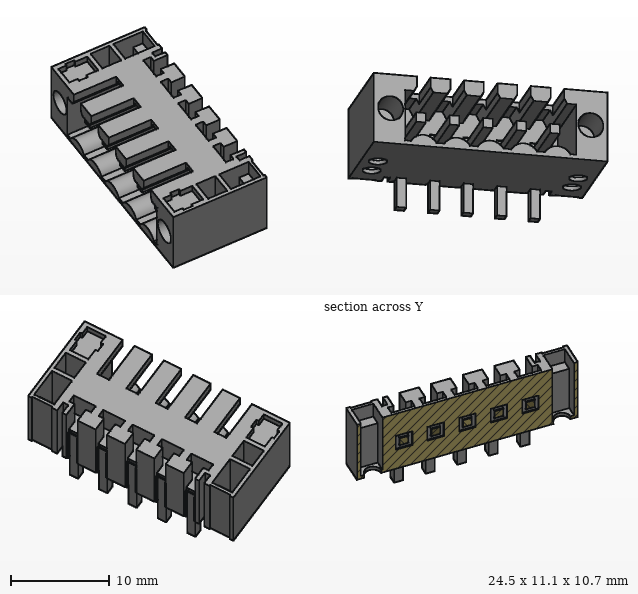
import cadquery as cq

LENGTH = 24.5
DEPTH = 11.05
HEIGHT = 7.5

PIN_COUNT = 5
PITCH = 3.5
PIN_SIZE = 1.0
PIN_Z = 3.53
PIN_TIP_Y = 1.18
PIN_LEG_INSET = 0.37
PIN_LEG_LENGTH = 3.15

CAVITY_WIDTH = 17.95
FLOOR = 0.45
CEILING_Z = 5.9
CAVITY_DEPTH = 8.1
KEY_BASE = 1.98
KEY_TOP = 0.83
KEY_TOP_Z = 6.95
RIB_CHORD = 2.7
RIB_RISE = 0.75
RECESS_SIZE = 1.8
RECESS_DEPTH = 0.25

SLOT_WIDTH = 1.42
SLOT_LENGTH = 5.0

NECK_WIDTH = 1.35
NECK_LENGTH = 1.62
BAR_WIDTH = 2.6
BAR_END = 2.5
T_FLOOR_Z = 4.43
STEP_LENGTH = 0.5
REAR_RELIEF = 0.07

OUTER_WALL = 0.45
POCKET_END = 2.82
REAR_POCKET = (0.5, 3.97)
MIDDLE_POCKET = (4.43, 6.66)
LEDGE_END = 1.62
LEDGE_Z = 5.75
HOLE_INSET = 1.76
PEG_HOLE_DIAMETER = 1.85
PEG_HOLE_REAR_DISTANCES = (2.85, 5.55)
NUT_POCKET = (7.15, 10.55)
NUT_POCKET_START = 0.61
NUT_EAR = (8.55, 9.58)
NUT_EAR_START = 0.37
NUT_EAR_END = 3.1
NUT_POCKET_DEPTH = 0.74
SCREW_HOLE_DIAMETER = 2.62
SCREW_HOLE_Z = 3.8
NOTCH_START = 3.48
NOTCH_END = 4.1
NOTCH_LENGTH = 1.18
END_RELIEF = 0.15

PIN_BOTTOM_Z = PIN_Z - PIN_SIZE / 2
PIN_TOP_Z = PIN_Z + PIN_SIZE / 2
LEG_BACK_Y = DEPTH - PIN_LEG_INSET
PIN_XS = [(i - (PIN_COUNT - 1) / 2) * PITCH for i in range(PIN_COUNT)]


def block(x0, x1, y0, y1, z0, z1):
    return cq.Workplane("XY").box(x1 - x0, y1 - y0, z1 - z0, centered=False).translate((x0, y0, z0))


def centred_block(x, width, y0, y1, z0, z1):
    return block(x - width / 2, x + width / 2, y0, y1, z0, z1)


def extrude_back(profile, depth):
    """Extrude an XZ profile from the front face toward +Y."""
    return profile.extrude(-depth)


def end_block(inset0, inset1, rear0, rear1, z0, z1):
    """Block at the -X end, placed by its distances from the end face and the rear face."""
    return block(inset0 - LENGTH / 2, inset1 - LENGTH / 2, DEPTH - rear1, DEPTH - rear0, z0, z1)


def mating_cavity():
    cavity = centred_block(0, CAVITY_WIDTH, 0, CAVITY_DEPTH, FLOOR, CEILING_Z)
    for x in PIN_XS:
        rib = extrude_back(
            cq.Workplane("XZ")
            .moveTo(x - RIB_CHORD / 2, FLOOR)
            .threePointArc((x, FLOOR + RIB_RISE), (x + RIB_CHORD / 2, FLOOR))
            .close(),
            CAVITY_DEPTH,
        )
        key = extrude_back(
            cq.Workplane("XZ")
            .moveTo(x - KEY_BASE / 2, CEILING_Z)
            .lineTo(x - KEY_TOP / 2, KEY_TOP_Z)
            .lineTo(x + KEY_TOP / 2, KEY_TOP_Z)
            .lineTo(x + KEY_BASE / 2, CEILING_Z)
            .close(),
            CAVITY_DEPTH,
        )
        recess = centred_block(
            x, RECESS_SIZE, CAVITY_DEPTH, CAVITY_DEPTH + RECESS_DEPTH,
            PIN_Z - RECESS_SIZE / 2, PIN_Z + RECESS_SIZE / 2,
        )
        cavity = cavity.cut(rib).union(key).union(recess)
    return cavity


def roof_slot(x):
    return centred_block(x, SLOT_WIDTH, 0, SLOT_LENGTH, CEILING_Z, HEIGHT)


def rear_t_slot(x):
    neck = centred_block(x, NECK_WIDTH, DEPTH - NECK_LENGTH, DEPTH, T_FLOOR_Z, HEIGHT)
    bar = centred_block(x, BAR_WIDTH, DEPTH - BAR_END, DEPTH - NECK_LENGTH, T_FLOOR_Z, HEIGHT)
    step = centred_block(x, NECK_WIDTH, DEPTH - STEP_LENGTH, DEPTH, PIN_TOP_Z, T_FLOOR_Z)
    relief = centred_block(x, NECK_WIDTH, DEPTH - REAR_RELIEF, DEPTH, 0, PIN_TOP_Z)
    return neck.union(bar).union(step).union(relief)


def pin_channel(x):
    """L-shaped passage for a pin; its vertical part is open to the rear."""
    passage = centred_block(x, PIN_SIZE, CAVITY_DEPTH, DEPTH, PIN_BOTTOM_Z, PIN_TOP_Z)
    groove = centred_block(x, PIN_SIZE, LEG_BACK_Y - PIN_SIZE, DEPTH, 0, PIN_TOP_Z)
    return passage.union(groove)


def end_cuts():
    """Everything removed from the -X end of the housing."""
    hole_x = HOLE_INSET - LENGTH / 2
    rear_pocket = end_block(OUTER_WALL, POCKET_END, *REAR_POCKET, FLOOR, HEIGHT)
    ledge = end_block(OUTER_WALL, POCKET_END, REAR_POCKET[0], LEDGE_END, FLOOR, LEDGE_Z)
    cuts = rear_pocket.cut(ledge)
    cuts = cuts.union(end_block(OUTER_WALL, POCKET_END, *MIDDLE_POCKET, FLOOR, HEIGHT))
    for rear_distance in PEG_HOLE_REAR_DISTANCES:
        peg_hole = (
            cq.Workplane("XY")
            .center(hole_x, DEPTH - rear_distance)
            .circle(PEG_HOLE_DIAMETER / 2)
            .extrude(FLOOR)
        )
        cuts = cuts.union(peg_hole)

    nut_floor_z = HEIGHT - NUT_POCKET_DEPTH
    cuts = cuts.union(end_block(NUT_POCKET_START, POCKET_END, *NUT_POCKET, nut_floor_z, HEIGHT))
    cuts = cuts.union(end_block(NUT_EAR_START, NUT_EAR_END, *NUT_EAR, nut_floor_z, HEIGHT))
    screw_hole = extrude_back(
        cq.Workplane("XZ").center(hole_x, SCREW_HOLE_Z).circle(SCREW_HOLE_DIAMETER / 2),
        DEPTH - NUT_POCKET[0],
    )
    notch = end_block(NOTCH_START, NOTCH_END, 0, NOTCH_LENGTH, 0, HEIGHT)
    relief = end_block(OUTER_WALL, POCKET_END, 0, END_RELIEF, 0, HEIGHT)
    return cuts.union(screw_hole).union(notch).union(relief)


def make_housing():
    body = centred_block(0, LENGTH, 0, DEPTH, 0, HEIGHT)
    body = body.cut(mating_cavity())
    for x in PIN_XS:
        body = body.cut(roof_slot(x)).cut(rear_t_slot(x)).cut(pin_channel(x))
    left_end = end_cuts()
    return body.cut(left_end).cut(left_end.mirror("YZ"))


def make_pin(x):
    """Right-angle pin: a contact along Y and a solder leg along Z."""
    contact = centred_block(x, PIN_SIZE, PIN_TIP_Y, LEG_BACK_Y, PIN_BOTTOM_Z, PIN_TOP_Z)
    leg = centred_block(x, PIN_SIZE, LEG_BACK_Y - PIN_SIZE, LEG_BACK_Y, -PIN_LEG_LENGTH, PIN_TOP_Z)
    return contact.union(leg)


housing = make_housing()
pins = [make_pin(x) for x in PIN_XS]
result = cq.Compound.makeCompound([housing.val(), *[pin.val() for pin in pins]])